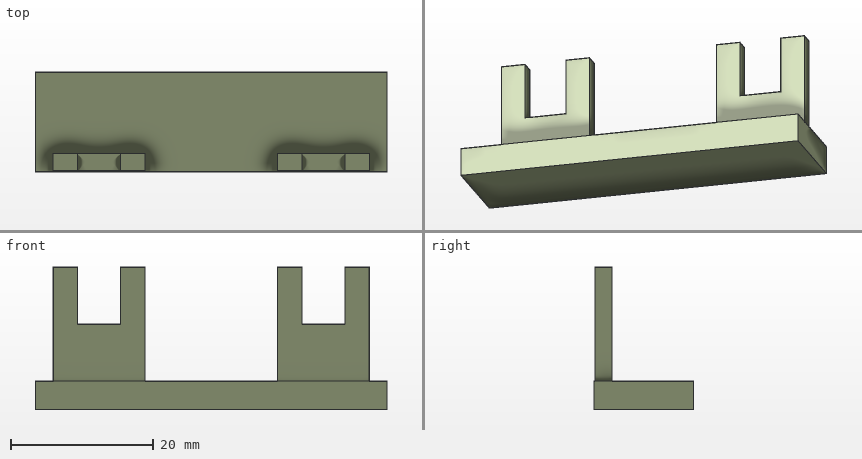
import cadquery as cq

plate_length = 49.4
plate_width = 14.0
plate_thickness = 4.0

overall_height = 20.0
fork_height = overall_height - plate_thickness
fork_width = 12.9
fork_thickness = 2.4
fork_spacing = 31.5
front_setback = 0.15

notch_width = 6.0
notch_depth = 8.0


def make_plate():
    """Flat rectangular plate with its underside at Z = 0."""
    return cq.Workplane("XY").box(
        plate_length, plate_width, plate_thickness, centered=(True, True, False)
    )


def make_fork(center_x):
    """U-shaped upright standing on the plate along its front edge."""
    front_y = -plate_width / 2 + front_setback
    center_y = front_y + fork_thickness / 2
    blank = cq.Workplane("XY").box(
        fork_width, fork_thickness, fork_height, centered=(True, True, False)
    )
    notch = (
        cq.Workplane("XY")
        .box(notch_width, fork_thickness, notch_depth, centered=(True, True, False))
        .translate((0, 0, fork_height - notch_depth))
    )
    return blank.cut(notch).translate((center_x, center_y, plate_thickness))


plate = make_plate()
forks = [make_fork(side * fork_spacing / 2) for side in (-1, 1)]

result = cq.Compound.makeCompound([plate.val(), *[fork.val() for fork in forks]])